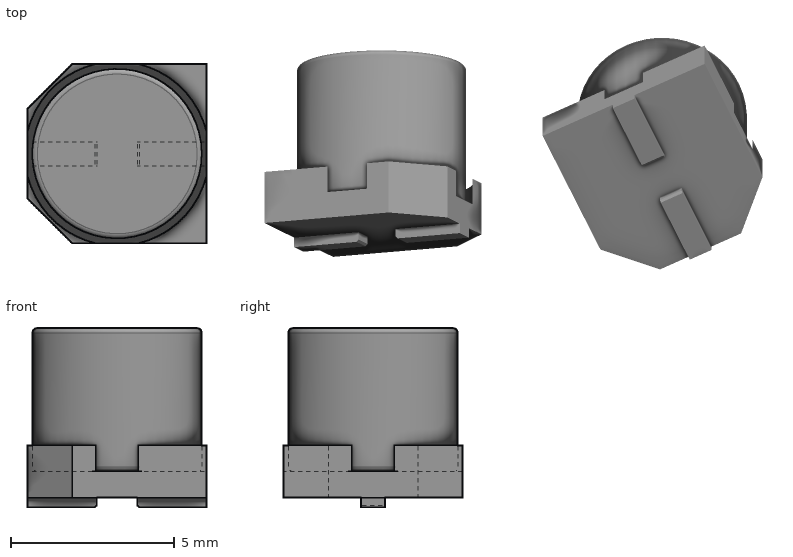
import cadquery as cq

base_side = 5.5
total_height = 5.5

lead_thickness = 0.295
lead_length = 2.135
lead_width = 0.735
lead_edge_chamfer = 0.065

base_top = 1.9
corner_cut = 1.375
recess_floor = 1.1
recess_diameter = 5.655

can_diameter = 5.2
can_edge_radius = 0.15


def make_base():
    """Square base with two cut corners on the -X side and a round recess for the can."""
    block = (
        cq.Workplane("XY", origin=(0, 0, lead_thickness))
        .rect(base_side, base_side)
        .extrude(base_top - lead_thickness)
        .edges("|Z and <X")
        .chamfer(corner_cut)
    )
    recess = (
        cq.Workplane("XY", origin=(0, 0, recess_floor))
        .circle(recess_diameter / 2)
        .extrude(base_top - recess_floor)
    )
    return block.cut(recess)


def make_can():
    """Cylindrical can standing on the recess floor, with both rims rounded."""
    return (
        cq.Workplane("XY", origin=(0, 0, recess_floor))
        .circle(can_diameter / 2)
        .extrude(total_height - recess_floor)
        .edges("%CIRCLE")
        .fillet(can_edge_radius)
    )


def make_lead(angle):
    """Flat lead under the base, made at the +X side and turned about Z by the given angle."""
    lead = (
        cq.Workplane("XY")
        .center((base_side - lead_length) / 2, 0)
        .rect(lead_length, lead_width)
        .extrude(lead_thickness)
        .edges("|Y and <X and <Z")
        .chamfer(lead_edge_chamfer)
    )
    return lead.rotate((0, 0, 0), (0, 0, 1), angle)


base = make_base()
can = make_can()
leads = [make_lead(angle) for angle in (0, 180)]

result = cq.Compound.makeCompound([base.val(), can.val(), *[lead.val() for lead in leads]])